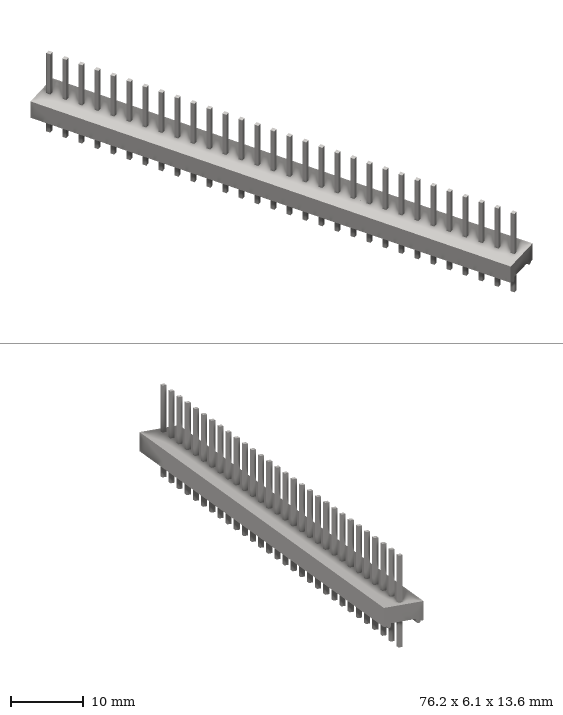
import cadquery as cq

row_length = 76.2
strip_count = 3
pins_per_strip = 10
strip_length = row_length / strip_count
pin_pitch = strip_length / pins_per_strip

pin_height = 13.6
pin_width = 0.63

block_width = 6.1
block_top = 6.6
block_bottom = 3.8
recess_top = 4.2

rib_radius = 0.3
rib_offset = 2.3

half_width = block_width / 2
rib_inner = rib_offset - rib_radius
rib_outer = rib_offset + rib_radius
rib_bottom = block_bottom - rib_radius


def make_block():
    """Insulator with its ribbed underside, extruded along +X from X = 0."""
    return (
        cq.Workplane("YZ")
        .moveTo(-half_width, block_top)
        .lineTo(-half_width, block_bottom)
        .lineTo(-rib_outer, block_bottom)
        .threePointArc((-rib_offset, rib_bottom), (-rib_inner, block_bottom))
        .lineTo(-rib_inner, recess_top)
        .lineTo(rib_inner, recess_top)
        .lineTo(rib_inner, block_bottom)
        .threePointArc((rib_offset, rib_bottom), (rib_outer, block_bottom))
        .lineTo(half_width, block_bottom)
        .lineTo(half_width, block_top)
        .close()
        .extrude(strip_length)
    )


def make_pins():
    """One row of square pins, half a pitch in from each end of the strip."""
    return (
        cq.Workplane("XY")
        .center(strip_length / 2, 0)
        .rarray(pin_pitch, 0.8, pins_per_strip, 1)
        .rect(pin_width, pin_width)
        .extrude(pin_height)
    )


def make_strip(index):
    """One header strip: insulator and pins as a single solid."""
    start_x = index * strip_length - row_length / 2
    return make_block().union(make_pins()).translate((start_x, 0, 0))


strips = [make_strip(index) for index in range(strip_count)]

result = cq.Compound.makeCompound([strip.solids().val() for strip in strips])